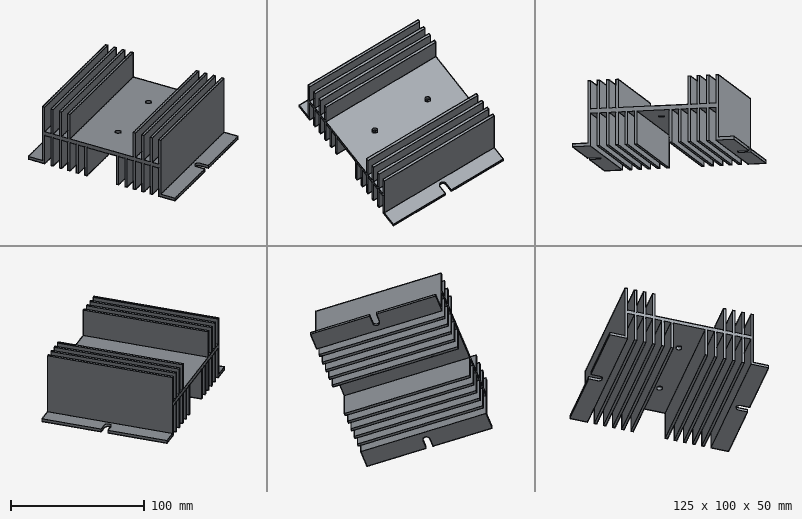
import cadquery as cq

overall_width = 125.0
length = 100.0
height = 50.0

plate_bottom = 25.0
plate_thickness = 3.4

fin_span = 101.0
fin_thickness = 2.0
fin_pitch = 7.2
upper_fins_per_side = 4
lower_fins_per_side = 6

foot_thickness = 2.4
slot_width = 5.3
slot_depth = 9.7

hole_diameter = 4.3
hole_spacing = 48.0

plate_top = plate_bottom + plate_thickness
foot_width = (overall_width - fin_span) / 2


def bar(x_min, x_max, z_min, z_max):
    """Rectangular bar spanning the full length of the extrusion."""
    return cq.Workplane("XY").box(
        x_max - x_min, length, z_max - z_min, centered=(False, True, False)
    ).translate((x_min, 0, z_min))


def left_fin(index, z_min, z_max):
    """Fin on the -X side, counted inward from the outer wall (index 0)."""
    x_min = -fin_span / 2 + index * fin_pitch
    return bar(x_min, x_min + fin_thickness, z_min, z_max)


def left_side():
    """Foot, outer wall and fins of the -X side."""
    foot_inner_edge = -overall_width / 2 + foot_width + fin_thickness
    side = bar(-overall_width / 2, foot_inner_edge, 0, foot_thickness)
    for index in range(upper_fins_per_side):
        side = side.union(left_fin(index, plate_bottom, height))
    for index in range(lower_fins_per_side):
        side = side.union(left_fin(index, 0, plate_top))
    return side


def left_slot():
    """Cutter for the round-ended slot in the -X foot."""
    slot_radius = slot_width / 2
    edge_x = -overall_width / 2
    arc_start_x = edge_x + slot_depth - slot_radius
    return (
        cq.Workplane("XY")
        .moveTo(edge_x, -slot_radius)
        .lineTo(arc_start_x, -slot_radius)
        .threePointArc((edge_x + slot_depth, 0), (arc_start_x, slot_radius))
        .lineTo(edge_x, slot_radius)
        .close()
        .extrude(foot_thickness)
    )


def mounting_holes():
    """Cutters for the two plate holes on the Y centreline."""
    return (
        cq.Workplane("XY", origin=(0, 0, plate_bottom))
        .pushPoints([(0, -hole_spacing / 2), (0, hole_spacing / 2)])
        .circle(hole_diameter / 2)
        .extrude(plate_thickness)
    )


slotted_side = left_side().cut(left_slot())
plate = bar(-fin_span / 2, fin_span / 2, plate_bottom, plate_top).cut(mounting_holes())

result = plate.union(slotted_side).union(slotted_side.mirror("YZ")).clean()